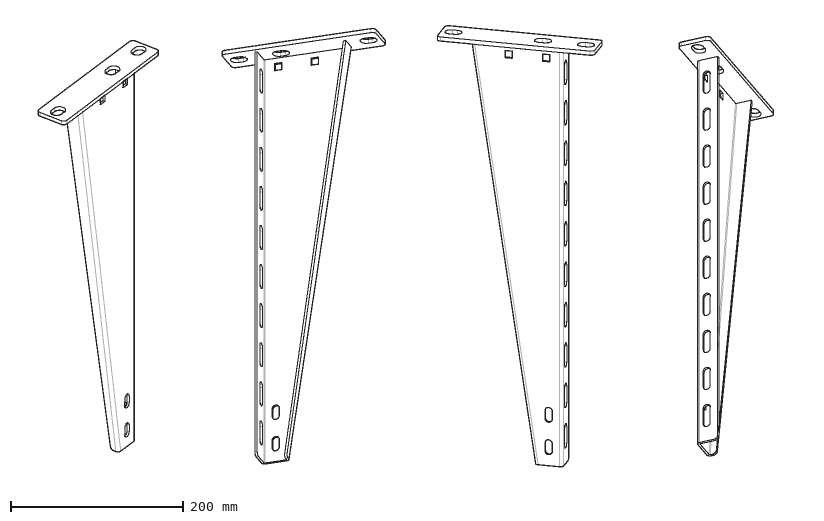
import cadquery as cq
import math

PLATE_WIDTH = 40.0
PLATE_LENGTH = 190.0
PLATE_THICKNESS = 5.0
PLATE_CORNER_RADIUS = 4.5
BOLT_HOLE_WIDTH = 14.0
BOLT_HOLE_LENGTH = 20.0
BOLT_HOLE_END_Y = 80.0
BOLT_HOLE_MIDDLE_Y = 28.0

TOTAL_HEIGHT = 520.0
ARM_HEIGHT = TOTAL_HEIGHT - PLATE_THICKNESS
SHEET = 3.0
INNER_BEND_RADIUS = 1.0
OUTER_BEND_RADIUS = INNER_BEND_RADIUS + SHEET
ARM_WIDTH = 27.0
WEB_OUTER_X = ARM_WIDTH / 2
BACK_Y = 55.5
ARM_DEPTH_TOP = 111.0
ARM_DEPTH_BOTTOM = 34.0
SLANT_FLANGE_WIDTH_TOP = 22.5
SLANT_FLANGE_WIDTH_BOTTOM = 11.5
FLANGE_CORNER_RADIUS = 4.5

BACK_SLOT_COUNT = 10
BACK_SLOT_PITCH = 50.0
BACK_SLOT_FIRST_Z = 34.5
BACK_SLOT_X = 0.5
BACK_SLOT_WIDTH = 9.0
BACK_SLOT_LENGTH = 29.5

WEB_SLOT_COUNT = 2
WEB_SLOT_Y = 38.5
WEB_SLOT_FIRST_Z = 23.0
WEB_SLOT_PITCH = 40.0
WEB_SLOT_WIDTH = 9.0
WEB_SLOT_LENGTH = 18.0
SQUARE_HOLE_COUNT = 2
SQUARE_HOLE_SIZE = 9.0
SQUARE_HOLE_BELOW_TOP = 16.0
SQUARE_HOLE_Z = TOTAL_HEIGHT - SQUARE_HOLE_BELOW_TOP
SQUARE_HOLE_BACK_Y = 35.5
SQUARE_HOLE_PITCH = 45.0

SLANT = (ARM_DEPTH_TOP - ARM_DEPTH_BOTTOM) / ARM_HEIGHT
SLANTED_SHEET_Y = SHEET * math.hypot(1, SLANT)


def front_y(z):
    """Y of the outer face of the slanted flange at height z."""
    return BACK_Y - ARM_DEPTH_BOTTOM - SLANT * z


def tapered_block(back_y, front_inset, x_right, bend_radius):
    """Tapered block with its two long +X edges rounded, spanning the arm height."""
    outline = [
        (back_y, 0),
        (back_y, ARM_HEIGHT),
        (front_y(ARM_HEIGHT) + front_inset, ARM_HEIGHT),
        (front_y(0) + front_inset, 0),
    ]
    block = (
        cq.Workplane("YZ", origin=(-WEB_OUTER_X, 0, 0))
        .polyline(outline)
        .close()
        .extrude(x_right + WEB_OUTER_X)
    )
    return block.faces(">X").edges("not |Y").fillet(bend_radius)


def slant_flange_trim():
    """Wedge that narrows the slanted flange towards the bottom."""
    inner_back_y = BACK_Y - SHEET
    outline = [
        (-WEB_OUTER_X, 0),
        (WEB_OUTER_X - SLANT_FLANGE_WIDTH_BOTTOM, 0),
        (WEB_OUTER_X - SLANT_FLANGE_WIDTH_TOP, ARM_HEIGHT),
        (-WEB_OUTER_X, ARM_HEIGHT),
    ]
    return (
        cq.Workplane("XZ", origin=(0, inner_back_y, 0))
        .polyline(outline)
        .close()
        .extrude(ARM_DEPTH_TOP)
    )


def round_free_corners(channel):
    """Round the bottom corner at the free edge of each flange."""
    back_corner = (-WEB_OUTER_X, BACK_Y - SHEET / 2, 0)
    slant_corner = (WEB_OUTER_X - SLANT_FLANGE_WIDTH_BOTTOM, front_y(0) + SLANTED_SHEET_Y / 2, 0)
    for corner in (back_corner, slant_corner):
        channel = channel.edges(cq.selectors.NearestToPointSelector(corner)).fillet(FLANGE_CORNER_RADIUS)
    return channel


def back_flange_slots():
    """Vertical row of slots, cutting the back flange only."""
    centres = [
        (BACK_SLOT_X, BACK_SLOT_FIRST_Z + i * BACK_SLOT_PITCH) for i in range(BACK_SLOT_COUNT)
    ]
    return (
        cq.Workplane("XZ", origin=(0, BACK_Y, 0))
        .pushPoints(centres)
        .slot2D(BACK_SLOT_LENGTH, BACK_SLOT_WIDTH, 90)
        .extrude(SHEET)
    )


def web_slots():
    """Two vertical slots through the web near the bottom."""
    centres = [(WEB_SLOT_Y, WEB_SLOT_FIRST_Z + i * WEB_SLOT_PITCH) for i in range(WEB_SLOT_COUNT)]
    return (
        cq.Workplane("YZ", origin=(WEB_OUTER_X - SHEET, 0, 0))
        .pushPoints(centres)
        .slot2D(WEB_SLOT_LENGTH, WEB_SLOT_WIDTH, 90)
        .extrude(SHEET)
    )


def web_square_holes():
    """Two square holes through the web just below the head plate."""
    centres = [
        (SQUARE_HOLE_BACK_Y - i * SQUARE_HOLE_PITCH, SQUARE_HOLE_Z) for i in range(SQUARE_HOLE_COUNT)
    ]
    return (
        cq.Workplane("YZ", origin=(WEB_OUTER_X - SHEET, 0, 0))
        .pushPoints(centres)
        .rect(SQUARE_HOLE_SIZE, SQUARE_HOLE_SIZE)
        .extrude(SHEET)
    )


def make_arm():
    outside = tapered_block(BACK_Y, 0, WEB_OUTER_X, OUTER_BEND_RADIUS)
    inside = tapered_block(BACK_Y - SHEET, SLANTED_SHEET_Y, WEB_OUTER_X - SHEET, INNER_BEND_RADIUS)
    channel = outside.cut(inside).cut(slant_flange_trim())
    channel = round_free_corners(channel)
    return channel.cut(back_flange_slots()).cut(web_slots()).cut(web_square_holes())


def make_head_plate():
    hole_centres = [(0, BOLT_HOLE_END_Y), (0, BOLT_HOLE_MIDDLE_Y), (0, -BOLT_HOLE_END_Y)]
    plate = (
        cq.Workplane("XY", origin=(0, 0, ARM_HEIGHT))
        .rect(PLATE_WIDTH, PLATE_LENGTH)
        .extrude(PLATE_THICKNESS)
        .edges("|Z")
        .fillet(PLATE_CORNER_RADIUS)
    )
    holes = (
        cq.Workplane("XY", origin=(0, 0, ARM_HEIGHT))
        .pushPoints(hole_centres)
        .slot2D(BOLT_HOLE_LENGTH, BOLT_HOLE_WIDTH, 90)
        .extrude(PLATE_THICKNESS)
    )
    return plate.cut(holes)


arm = make_arm()
head_plate = make_head_plate()
result = cq.Compound.makeCompound([arm.val(), head_plate.val()])